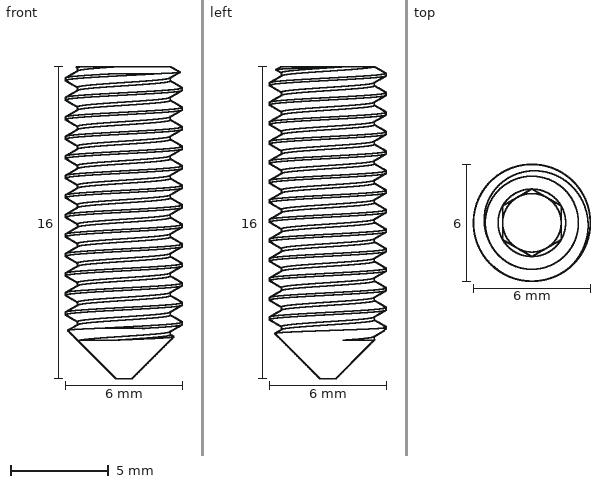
import cadquery as cq
import math

length = 16.0
major_diameter = 6.0
pitch = 1.0
hex_across_flats = 3.0
socket_depth = 1.9
tip_radius = 0.4
tip_half_angle = math.radians(45)
end_chamfer_angle = math.radians(30)
socket_chamfer_angle = math.radians(45)
drill_half_angle = math.radians(60)
crest_phase = 0.85 * pitch
ridge_embedment = 0.05

flank_half_angle = math.radians(30)
sharp_height = pitch / 2 / math.tan(flank_half_angle)
thread_depth = 17 / 24 * sharp_height
crest_flat = pitch / 8
major_radius = major_diameter / 2
minor_radius = major_radius - thread_depth

flat_radius = hex_across_flats / 2
corner_radius = hex_across_flats / math.sqrt(3)


def make_end_envelope():
    """Solid of revolution whose cone point and end chamfer trim the screw."""
    envelope_radius = major_radius + thread_depth
    cone_height = (envelope_radius - tip_radius) / math.tan(tip_half_angle)
    chamfer_height = (envelope_radius - minor_radius) * math.tan(end_chamfer_angle)
    outline = [
        (0, 0),
        (tip_radius, 0),
        (envelope_radius, cone_height),
        (envelope_radius, length - chamfer_height),
        (minor_radius, length),
        (0, length),
    ]
    return cq.Workplane("XZ").polyline(outline).close().revolve(360, (0, 0, 0), (0, 1, 0))


def make_socket():
    """Hexagon with corners on the Y axis, a conical lead-in and a drilled cone bottom."""
    socket_floor = length - socket_depth
    hexagon = (
        cq.Workplane("XY", origin=(0, 0, socket_floor))
        .polygon(6, 2 * corner_radius)
        .extrude(socket_depth)
        .rotate((0, 0, 0), (0, 0, 1), 90)
    )
    lead_in_height = (corner_radius - flat_radius) * math.tan(socket_chamfer_angle)
    lead_in_base = cq.Vector(0, 0, length - lead_in_height)
    lead_in = cq.Solid.makeCone(flat_radius, corner_radius, lead_in_height, lead_in_base)
    drill_height = flat_radius / math.tan(drill_half_angle)
    drill_base = cq.Vector(0, 0, socket_floor - drill_height)
    drill_cone = cq.Solid.makeCone(0, flat_radius, drill_height, drill_base)
    return hexagon.union(cq.Workplane(lead_in)).union(cq.Workplane(drill_cone))


def make_ridge_turn(start_height):
    """One right-hand turn of the thread ridge, its crest starting on the +X side at start_height."""
    base_radius = minor_radius - ridge_embedment
    half_crest = crest_flat / 2
    half_base = half_crest + (major_radius - base_radius) * math.tan(flank_half_angle)
    profile = [
        (base_radius, -half_base),
        (major_radius, -half_crest),
        (major_radius, half_crest),
        (base_radius, half_base),
    ]

    def end_cap(height):
        corners = [cq.Vector(radius, 0, height + offset) for radius, offset in profile]
        return cq.Face.makeFromWires(cq.Wire.makePolygon(corners, close=True))

    helices = [
        cq.Wire.makeHelix(pitch, pitch, radius, cq.Vector(0, 0, start_height + offset))
        for radius, offset in profile
    ]
    next_helices = helices[1:] + helices[:1]
    sides = [cq.Face.makeRuledSurface(first, second) for first, second in zip(helices, next_helices)]
    caps = [end_cap(start_height), end_cap(start_height + pitch)]
    return cq.Solid.makeSolid(cq.Shell.makeShell(sides + caps))


def make_thread(envelope):
    """All turns of the ridge, each trimmed to the cone point and the end chamfer where it meets them."""
    cone_top = (major_radius - tip_radius) / math.tan(tip_half_angle)
    chamfer_start = length - thread_depth * math.tan(end_chamfer_angle)
    turns = []
    for turn in range(math.floor(length / pitch)):
        start_height = crest_phase + turn * pitch
        ridge = make_ridge_turn(start_height)
        clear_of_cone = start_height - pitch > cone_top
        clear_of_chamfer = start_height + 2 * pitch < chamfer_start
        if not (clear_of_cone and clear_of_chamfer):
            ridge = ridge.intersect(envelope)
        turns.extend(ridge.Solids())
    return turns


def make_screw():
    """Core cylinder with the socket, joined to every turn of the thread."""
    envelope = make_end_envelope()
    core = cq.Workplane("XY").circle(minor_radius).extrude(length).intersect(envelope).cut(make_socket())
    screw = core.val().fuse(*make_thread(envelope.val())).clean()
    return cq.Workplane(screw.Solids()[0])


result = make_screw()